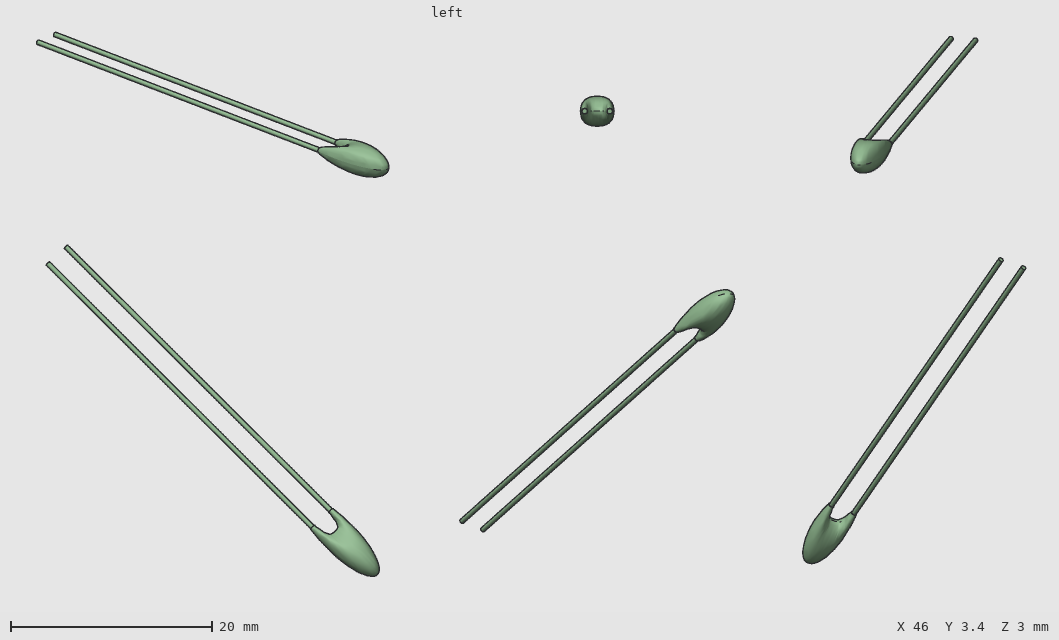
import cadquery as cq
import math

lead_diameter = 0.5
lead_length = 38.0
lead_pitch = 2.5

bead_length = 8.0
bead_width = 3.4
bead_height = 3.0
widest_x = 2.5
leg_end_diameter = 0.6
nose_stretch = 1.5
steps_per_leg = 6

crotch_x = 1.85
notch_half_width = (lead_pitch - leg_end_diameter) / 2
notch_squareness = 0.6


def grow(start, end, angle):
    """Size that goes from start at angle 0 to end at 90 degrees, along a sine."""
    return start + (end - start) * math.sin(angle)


def outer_point(bend):
    """X and Y on the outer outline; bend runs from 0 at the leg end to 90 degrees at the tip."""
    x = bead_length * math.sin(bend) ** nose_stretch
    if x < widest_x:
        leg_outer_y = (lead_pitch + leg_end_diameter) / 2
        return x, grow(leg_outer_y, bead_width / 2, math.pi / 2 * x / widest_x)
    along_nose = (x - widest_x) / (bead_length - widest_x)
    return x, bead_width / 2 * math.sqrt(1 - along_nose ** 2)


def inner_point(bend):
    """X and Y on the notch wall facing the outer point; it reaches the crotch at 90 degrees."""
    cosine = max(0.0, math.cos(bend))
    return crotch_x * math.sin(bend), notch_half_width * cosine ** notch_squareness


def horn_section(bend, side):
    """Upright ellipse from the outer to the inner outline, on the +Y (1) or -Y (-1) side."""
    outer_x, outer_y = outer_point(bend)
    inner_x, inner_y = inner_point(bend)
    outer = cq.Vector(outer_x, side * outer_y, 0)
    inner = cq.Vector(inner_x, side * inner_y, 0)
    center = (outer + inner) * 0.5
    across = (outer - inner) * 0.5
    half_height = grow(leg_end_diameter, bead_height, bend) / 2
    normal = across.cross(cq.Vector(0, 0, 1))
    arcs = [
        cq.Edge.makeEllipse(across.Length, half_height, center, normal, across, start, start + 180)
        for start in (0, 180)
    ]
    return cq.Wire.assembleEdges(arcs)


def make_bead():
    bends = [math.pi / 2 * step / steps_per_leg for step in range(steps_per_leg + 1)]
    sections = [horn_section(bend, 1) for bend in bends]
    sections += [horn_section(bend, -1) for bend in reversed(bends[:-1])]
    horn = cq.occ_impl.shapes.loft(sections, cap=True, parametrization="uniform")
    return cq.Workplane(obj=horn)


def make_lead(y):
    return cq.Workplane("YZ").center(y, 0).circle(lead_diameter / 2).extrude(-lead_length)


bead = make_bead()
leads = [make_lead(side * lead_pitch / 2) for side in (-1, 1)]
result = cq.Compound.makeCompound([bead.val(), *[lead.val() for lead in leads]])